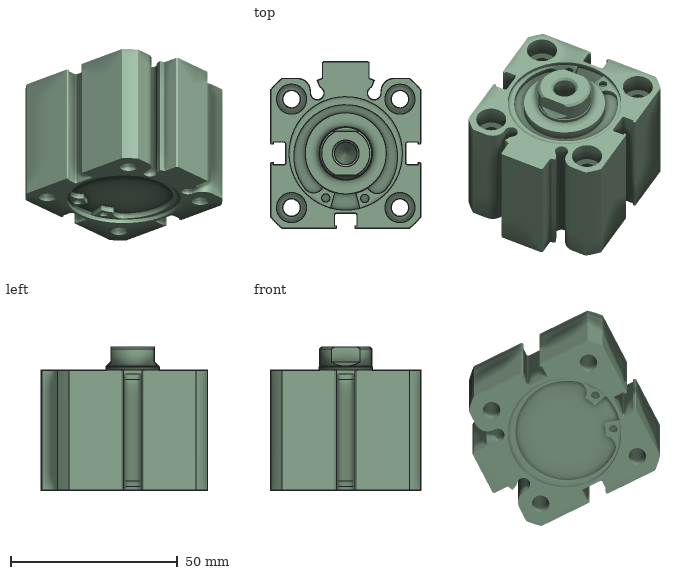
import cadquery as cq
import math

housing_width = 45.0
housing_height = 36.0
half_width = housing_width / 2
corner_radius = 29.5
corner_flat = math.sqrt(corner_radius**2 - half_width**2)
corner_middle = corner_radius / math.sqrt(2)

rail_top = 27.5
rail_half_width = 7.0
rail_chamfer = 0.4
rail_foot_half_width = 8.55
rail_foot_y = 21.9
neck_x = 7.9
neck_y = 20.15
groove_radius = 2.0
groove_x = 8.55
groove_y = 18.1
groove_entry_angle = math.radians(30)
shoulder_radius = 4.0

slot_floor = 18.0
slot_half_width = 3.35
slot_mouth_half_width = 2.75
slot_lip = 0.8
slot_lip_round = 0.4
slot_fillet = 0.5

mount_offset = 16.25
mount_diameter = 5.2
mount_bore_diameter = 9.0
mount_bore_depth = 6.0

bore_radius = 17.0
ring_inset = 1.15
ring_thickness = 1.6
ring_outer_radius = 17.85
top_ring_z = housing_height - ring_inset - ring_thickness
bottom_ring_z = ring_inset

ring_inner_radius = 15.55
ring_inner_y = -0.95
lug_inner_radius = 12.3
lug_relief_radius = 3.25
lug_relief_x = 9.55
lug_gap_half_angle = 15.0
ring_turn = -0.6
lug_hole_diameter = 2.5
lug_hole_x = 5.85
lug_hole_y = -13.45

hub_radius = 12.15
cover_thickness = 10.0
cap_thickness = 5.0

rod_radius = 8.0
rod_tip_radius = 7.8
rod_top = 43.0
rod_shoulder_z = 37.2
rod_tip_chamfer = 0.6
flat_half_width = 6.5
flat_bottom_z = 38.5
thread_diameter = 8.0
thread_bore_diameter = 6.75
thread_depth = 13.0
drill_tip_angle = 120.0


def disc(radius, bottom, height):
    return cq.Workplane("XY").workplane(offset=bottom).circle(radius).extrude(height)


def housing_profile():
    """Outline drawn as its +X half and mirrored across the YZ plane."""
    entry_x = groove_x - groove_radius * math.cos(groove_entry_angle)
    entry_y = groove_y + groove_radius * math.sin(groove_entry_angle)
    wall_x = groove_x + groove_radius
    shoulder_x = wall_x + shoulder_radius
    shoulder_y = half_width - shoulder_radius
    shoulder_diagonal = shoulder_radius / math.sqrt(2)
    return (
        cq.Workplane("XY")
        .moveTo(0, -half_width)
        .lineTo(corner_flat, -half_width)
        .threePointArc((corner_middle, -corner_middle), (half_width, -corner_flat))
        .lineTo(half_width, corner_flat)
        .threePointArc((corner_middle, corner_middle), (corner_flat, half_width))
        .lineTo(shoulder_x, half_width)
        .threePointArc(
            (shoulder_x - shoulder_diagonal, shoulder_y + shoulder_diagonal), (wall_x, shoulder_y)
        )
        .lineTo(wall_x, groove_y)
        .threePointArc((groove_x, groove_y - groove_radius), (entry_x, entry_y))
        .lineTo(neck_x, neck_y)
        .lineTo(rail_foot_half_width, rail_foot_y)
        .lineTo(rail_half_width, half_width)
        .lineTo(rail_half_width, rail_top - rail_chamfer)
        .lineTo(rail_half_width - rail_chamfer, rail_top)
        .lineTo(0, rail_top)
        .mirrorY()
    )


def sensor_slot(turn):
    """Undercut slot along the whole height of the +X side, turned about Z."""
    lip_x = half_width - slot_lip
    round_x = half_width - slot_lip_round
    face_half_width = slot_mouth_half_width + slot_lip_round
    round_inset = slot_lip_round / math.sqrt(2)
    round_middle = (round_x + round_inset, face_half_width - round_inset)
    chamber = (
        cq.Workplane("XY")
        .moveTo((slot_floor + lip_x) / 2, 0)
        .rect(lip_x - slot_floor, 2 * slot_half_width)
        .extrude(housing_height)
        .edges("|Z and <X")
        .fillet(slot_fillet)
    )
    mouth = (
        cq.Workplane("XY")
        .moveTo(lip_x, -slot_mouth_half_width)
        .lineTo(round_x, -slot_mouth_half_width)
        .threePointArc((round_middle[0], -round_middle[1]), (half_width, -face_half_width))
        .lineTo(half_width, face_half_width)
        .threePointArc(round_middle, (round_x, slot_mouth_half_width))
        .lineTo(lip_x, slot_mouth_half_width)
        .close()
        .extrude(housing_height)
    )
    return chamber.union(mouth).rotate((0, 0, 0), (0, 0, 1), turn)


def make_housing():
    body = housing_profile().extrude(housing_height)
    for turn in (0, 180, 270):
        body = body.cut(sensor_slot(turn))
    body = (
        body.faces(">Z")
        .workplane(origin=(0, 0, housing_height))
        .rect(2 * mount_offset, 2 * mount_offset, forConstruction=True)
        .vertices()
        .cboreHole(mount_diameter, mount_bore_diameter, mount_bore_depth)
    )
    body = body.cut(disc(bore_radius, 0, housing_height))
    for ring_z in (bottom_ring_z, top_ring_z):
        body = body.cut(disc(ring_outer_radius, ring_z, ring_thickness))
    return body


def make_retaining_ring(bottom):
    """Snap ring with two lugs at its -Y gap, each with a hole for pliers."""
    relief_drop = math.sqrt((ring_inner_radius - lug_relief_radius) ** 2 - lug_relief_x**2)
    relief_y = ring_inner_y - relief_drop
    relief_bottom = relief_y - lug_relief_radius
    relief_end_x = lug_relief_x - lug_relief_radius
    touch_scale = ring_inner_radius / (ring_inner_radius - lug_relief_radius)
    touch_x = lug_relief_x * touch_scale
    touch_y = ring_inner_y - relief_drop * touch_scale

    opening = (
        cq.Workplane("XY")
        .workplane(offset=bottom)
        .moveTo(-touch_x, touch_y)
        .threePointArc((0, ring_inner_y + ring_inner_radius), (touch_x, touch_y))
        .threePointArc((lug_relief_x, relief_bottom), (relief_end_x, relief_y))
        .lineTo(-relief_end_x, relief_y)
        .threePointArc((-lug_relief_x, relief_bottom), (-touch_x, touch_y))
        .close()
        .extrude(ring_thickness)
    )
    gap_reach = 2 * ring_outer_radius
    gap_spread = gap_reach * math.tan(math.radians(lug_gap_half_angle))
    gap = (
        cq.Workplane("XY")
        .workplane(offset=bottom)
        .polyline([(0, 0), (-gap_spread, -gap_reach), (gap_spread, -gap_reach)])
        .close()
        .extrude(ring_thickness)
    )
    lug_holes = (
        cq.Workplane("XY")
        .workplane(offset=bottom)
        .pushPoints([(-lug_hole_x, lug_hole_y), (lug_hole_x, lug_hole_y)])
        .circle(lug_hole_diameter / 2)
        .extrude(ring_thickness)
    )
    return (
        disc(ring_outer_radius, bottom, ring_thickness)
        .cut(opening)
        .cut(disc(lug_inner_radius, bottom, ring_thickness))
        .cut(gap)
        .cut(lug_holes)
        .rotate((0, 0, 0), (0, 0, 1), ring_turn)
    )


def make_rod_cover():
    """Guide for the rod, held below the top ring, with its hub flush with the housing."""
    plate = disc(bore_radius, top_ring_z - cover_thickness, cover_thickness)
    hub = disc(hub_radius, top_ring_z, housing_height - top_ring_z)
    return plate.union(hub).cut(disc(rod_radius, 0, housing_height))


def make_end_cap():
    """Plain plug held above the bottom ring."""
    return disc(bore_radius, bottom_ring_z + ring_thickness, cap_thickness)


def wrench_flat():
    """Cutter for the -Y flat, which runs out at 45 degrees down to the rod shoulder."""
    depth = rod_radius - flat_half_width
    return (
        cq.Workplane("YZ")
        .moveTo(-flat_half_width, rod_top)
        .lineTo(-flat_half_width, flat_bottom_z)
        .lineTo(-flat_half_width - depth, flat_bottom_z - depth)
        .lineTo(-flat_half_width - depth, rod_top)
        .close()
        .extrude(rod_radius, both=True)
    )


def threaded_hole():
    """Drilled hole with a countersunk mouth and a conical bottom, revolved about Z."""
    mouth_radius = thread_diameter / 2
    drill_radius = thread_bore_diameter / 2
    floor_z = rod_top - thread_depth
    tip_depth = drill_radius / math.tan(math.radians(drill_tip_angle / 2))
    return (
        cq.Workplane("XZ")
        .moveTo(0, rod_top)
        .lineTo(mouth_radius, rod_top)
        .lineTo(drill_radius, rod_top - (mouth_radius - drill_radius))
        .lineTo(drill_radius, floor_z)
        .lineTo(0, floor_z - tip_depth)
        .close()
        .revolve(360, (0, 0), (0, 1))
    )


def make_rod():
    """Piston rod that reaches from the end cap out through the cover."""
    rod_bottom = bottom_ring_z + ring_thickness + cap_thickness
    shoulder_step = rod_radius - rod_tip_radius
    rod = (
        cq.Workplane("XZ")
        .moveTo(0, rod_bottom)
        .lineTo(rod_radius, rod_bottom)
        .lineTo(rod_radius, rod_shoulder_z - shoulder_step)
        .lineTo(rod_tip_radius, rod_shoulder_z)
        .lineTo(rod_tip_radius, rod_top - rod_tip_chamfer)
        .lineTo(rod_tip_radius - rod_tip_chamfer, rod_top)
        .lineTo(0, rod_top)
        .close()
        .revolve(360, (0, 0), (0, 1))
    )
    flat = wrench_flat()
    return rod.cut(flat).cut(flat.mirror("XZ")).cut(threaded_hole())


housing = make_housing()
rod_cover = make_rod_cover()
end_cap = make_end_cap()
rod = make_rod()
retaining_rings = [make_retaining_ring(bottom).val() for bottom in (bottom_ring_z, top_ring_z)]

result = cq.Compound.makeCompound(
    [housing.val(), rod_cover.val(), end_cap.val(), rod.val(), *retaining_rings]
)